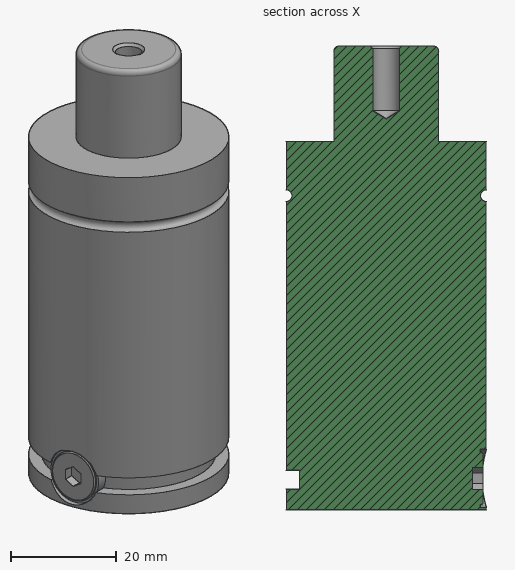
import cadquery as cq
import math

total_height = 88.0
body_diameter = 38.0
body_height = 69.9
body_radius = body_diameter / 2

upper_groove_height = 59.6
upper_groove_radius = 1.1

lower_groove_bottom = 4.0
lower_groove_top = 7.5
lower_groove_floor_diameter = 33.0

rod_diameter = 20.0
rod_edge_radius = 1.1
hole_diameter = 5.0
hole_chamfer = 0.5
hole_depth = 12.3
drill_point_angle = 118.0

plug_height = 6.0
spotface_diameter = 11.0
spotface_distance = 17.9
plug_diameter = 10.0
plug_face_distance = 18.4
plug_chamfer = 0.3
hex_across_flats = 3.5
hex_depth = 2.0


def plug_cylinder(diameter, start, end):
    """Cylinder on the plug axis between two distances from the body axis."""
    return (
        cq.Workplane("XZ", origin=(0, -start, plug_height))
        .circle(diameter / 2)
        .extrude(end - start)
    )


def make_body():
    body = cq.Workplane("XY").circle(body_radius).extrude(body_height)
    upper_groove = (
        cq.Workplane("XZ")
        .center(body_radius, upper_groove_height)
        .circle(upper_groove_radius)
        .revolve(360, (-body_radius, 0, 0), (-body_radius, 1, 0))
    )
    lower_groove = (
        cq.Workplane("XY", origin=(0, 0, lower_groove_bottom))
        .circle(body_radius)
        .circle(lower_groove_floor_diameter / 2)
        .extrude(lower_groove_top - lower_groove_bottom)
    )
    return body.cut(upper_groove).cut(lower_groove)


def make_rod():
    return (
        cq.Workplane("XY", origin=(0, 0, body_height))
        .circle(rod_diameter / 2)
        .extrude(total_height - body_height)
        .faces(">Z")
        .edges()
        .fillet(rod_edge_radius)
    )


def make_rod_hole():
    """Half profile of the chamfered, drill-pointed hole, revolved about Z."""
    radius = hole_diameter / 2
    floor = total_height - hole_depth
    tip = floor - radius / math.tan(math.radians(drill_point_angle / 2))
    return (
        cq.Workplane("XZ")
        .moveTo(0, tip)
        .lineTo(radius, floor)
        .lineTo(radius, total_height - hole_chamfer)
        .lineTo(radius + hole_chamfer, total_height)
        .lineTo(0, total_height)
        .close()
        .revolve(360, (0, 0, 0), (0, 1, 0))
    )


def make_plug():
    return (
        plug_cylinder(plug_diameter, 0, plug_face_distance)
        .faces("<Y")
        .edges()
        .chamfer(plug_chamfer)
    )


def make_hex_socket():
    """Hexagonal socket with two corners in line with Z."""
    corner_diameter = hex_across_flats / math.cos(math.pi / 6)
    return (
        cq.Workplane("XZ", origin=(0, -plug_face_distance, plug_height))
        .transformed(rotate=(0, 0, 90))
        .polygon(6, corner_diameter)
        .extrude(-hex_depth)
    )


result = (
    make_body()
    .cut(plug_cylinder(spotface_diameter, spotface_distance, body_radius))
    .union(plug_cylinder(spotface_diameter, 0, spotface_distance))
    .union(make_plug())
    .cut(make_hex_socket())
    .union(make_rod())
    .cut(make_rod_hole())
)